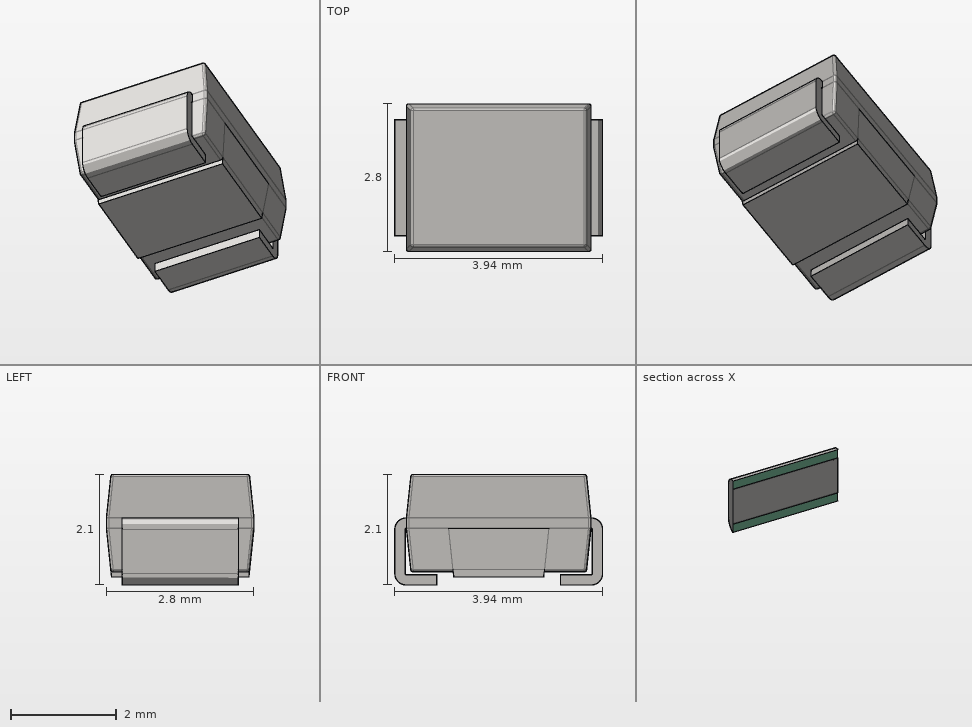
import cadquery as cq
import math

body_length = 3.5
body_width = 2.8
body_top = 2.1
body_bottom = 0.25
band_height = 0.2
band_middle = (body_top + body_bottom) / 2
band_bottom = band_middle - band_height / 2
band_top = band_middle + band_height / 2
draft_angle = 6.0
edge_radius = 0.05

rib_length = 1.9
pad_bottom = 0.15

lead_span = 3.94
lead_width = 2.2
lead_thickness = 0.2
foot_length = 0.8
bend_radius = (lead_span - body_length) / 2
inner_bend_radius = bend_radius - lead_thickness


def drafted_block(length, width, start, end):
    """Rectangular block from height start to end, narrowing by the draft angle."""
    direction = 1 if end > start else -1
    plane = cq.Plane(origin=(0, 0, start), xDir=(1, 0, 0), normal=(0, 0, direction))
    return cq.Workplane(plane).rect(length, width).extrude(abs(end - start), taper=draft_angle)


def make_package():
    band = (
        cq.Workplane("XY", origin=(0, 0, band_bottom))
        .rect(body_length, body_width)
        .extrude(band_height)
    )
    upper = drafted_block(body_length, body_width, band_top, body_top)
    lower = drafted_block(body_length, body_width, band_bottom, body_bottom)
    body = band.union(upper).union(lower).edges().fillet(edge_radius)

    rib = drafted_block(rib_length, body_width, band_bottom, pad_bottom)
    return body.union(rib, clean=False)


def make_lead(side):
    """C-shaped lead; side is -1 for the -X end and +1 for the +X end."""
    outer = lead_span / 2
    root = outer - bend_radius
    inner = outer - lead_thickness
    foot_end = outer - foot_length
    diagonal = math.sqrt(0.5)
    outer_mid = bend_radius * diagonal
    inner_mid = inner_bend_radius * diagonal
    upper_centre = band_top - bend_radius
    lower_centre = bend_radius
    profile = (
        cq.Workplane("XZ", origin=(0, lead_width / 2, 0))
        .moveTo(side * root, band_top)
        .threePointArc((side * (root + outer_mid), upper_centre + outer_mid), (side * outer, upper_centre))
        .lineTo(side * outer, lower_centre)
        .threePointArc((side * (root + outer_mid), lower_centre - outer_mid), (side * root, 0))
        .lineTo(side * foot_end, 0)
        .lineTo(side * foot_end, lead_thickness)
        .lineTo(side * root, lead_thickness)
        .threePointArc((side * (root + inner_mid), lower_centre - inner_mid), (side * inner, lower_centre))
        .lineTo(side * inner, upper_centre)
        .threePointArc(
            (side * (root + inner_mid), upper_centre + inner_mid), (side * root, band_top - lead_thickness)
        )
        .close()
    )
    return profile.extrude(lead_width)


package = make_package()
leads = [make_lead(side) for side in (-1, 1)]

result = cq.Compound.makeCompound([package.val(), *[lead.val() for lead in leads]])